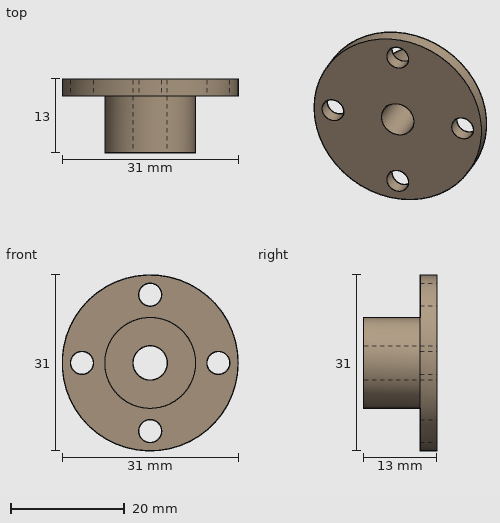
import cadquery as cq

flange_diameter = 31.0
flange_thickness = 3.0
hub_diameter = 16.0
hub_length = 10.0
bore_diameter = 6.0
bolt_hole_diameter = 4.0
bolt_circle_diameter = 24.0
bolt_hole_count = 4

total_length = flange_thickness + hub_length


def cylinder_along_y(diameter, length):
    """Cylinder on the Y axis, from the flange's back face (Y = 0) toward -Y."""
    return cq.Workplane("XZ").circle(diameter / 2).extrude(length)


def bolt_holes():
    """Through holes spaced evenly around the flange, the first one on +X."""
    return (
        cq.Workplane("XZ")
        .polarArray(bolt_circle_diameter / 2, 0, 360, bolt_hole_count)
        .circle(bolt_hole_diameter / 2)
        .extrude(flange_thickness)
    )


flange = cylinder_along_y(flange_diameter, flange_thickness)
hub = cylinder_along_y(hub_diameter, total_length)
bore = cylinder_along_y(bore_diameter, total_length)

result = flange.union(hub).cut(bore).cut(bolt_holes())